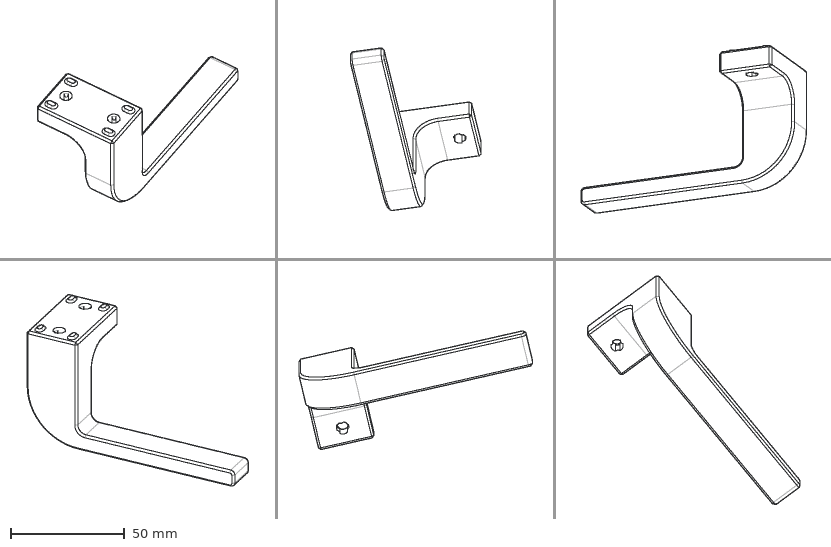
import cadquery as cq
import math

plate_length = 40.0
plate_depth = 25.0
plate_thickness = 10.0
handle_width = 15.0
handle_height = 53.0
grip_reach = 102.5
grip_thickness = 8.0

elbow_radius = plate_depth
inner_bend_radius = 4.0
gusset_radius = 10.0
tip_radius = 2.0
edge_chamfer = 1.0

hole_diameter = 5.4
hole_edge_offset = 7.5
hole_depth = plate_thickness

rib_count = 3
rib_radius = 1.5
rib_rise = 0.5
rib_start_depth = 1.5
rib_lead_in = 2.0

nub_length = 6.0
nub_width = 4.0
nub_height = 1.0
nub_taper = 45.0
nub_offset_x = 5.0
nub_offset_y = 4.5

stem_side_x = plate_length - handle_width
plate_underside_z = handle_height - plate_thickness

sharp_angle = math.radians(10)
contact_tolerance = 1e-4


def make_plate():
    """Mounting plate with a concave gusset running down into the stem."""
    return (
        cq.Workplane("XZ")
        .moveTo(0, handle_height)
        .lineTo(0, plate_underside_z)
        .lineTo(stem_side_x - gusset_radius, plate_underside_z)
        .radiusArc((stem_side_x, plate_underside_z - gusset_radius), gusset_radius)
        .lineTo(plate_length, plate_underside_z - gusset_radius)
        .lineTo(plate_length, handle_height)
        .close()
        .extrude(-plate_depth)
    )


def make_handle():
    """Stem and grip: one J-shaped side profile extruded across the handle width."""
    bend_start_y = plate_depth + inner_bend_radius
    bend_end_z = grip_thickness + inner_bend_radius
    handle = (
        cq.Workplane("YZ", origin=(stem_side_x, 0, 0))
        .moveTo(0, handle_height)
        .lineTo(0, elbow_radius)
        .radiusArc((elbow_radius, 0), -elbow_radius)
        .lineTo(grip_reach, 0)
        .lineTo(grip_reach, grip_thickness)
        .lineTo(bend_start_y, grip_thickness)
        .radiusArc((plate_depth, bend_end_z), inner_bend_radius)
        .lineTo(plate_depth, handle_height)
        .close()
        .extrude(handle_width)
    )
    return handle.faces(">Y").edges("|X").fillet(tip_radius)


def is_sharp(edge, faces):
    """True where the two faces meeting at the edge are not tangent."""
    middle = edge.positionAt(0.5)
    point = cq.Vertex.makeVertex(*middle.toTuple())
    touching = [face for face in faces if face.distance(point) < contact_tolerance]
    first, second = [face.normalAt(middle) for face in touching]
    return first.getAngle(second) > sharp_angle


def chamfer_sharp_edges(body):
    """Chamfer every sharp edge, leaving the tangent seams alone."""
    faces = body.faces().vals()
    sharp_edges = [edge for edge in body.edges().vals() if is_sharp(edge, faces)]
    return body.newObject(sharp_edges).chamfer(edge_chamfer)


def mounting_face(points):
    """Workplane on the mounting face with the given points on its stack."""
    return cq.Workplane("XY", origin=(0, 0, handle_height)).pushPoints(points)


def make_hole(center):
    """Cutter for one screw hole: a bore whose wall carries ribs with sloped tops."""
    hole_radius = hole_diameter / 2
    bore = mounting_face([center]).circle(hole_radius).extrude(-hole_depth)
    rib_start = (*center, handle_height - rib_start_depth)
    ribs = (
        cq.Workplane("XY", origin=rib_start)
        .polarArray(hole_radius - rib_rise + rib_radius, 0, 360, rib_count)
        .circle(rib_radius)
        .extrude(rib_start_depth - hole_depth)
    )
    lead_in = (
        cq.Workplane("XY", origin=rib_start)
        .circle(hole_radius)
        .workplane(offset=-rib_lead_in)
        .circle(hole_radius - rib_rise)
        .loft(ruled=True)
    )
    return bore.cut(ribs).union(lead_in)


def make_holes():
    """Two screw holes; only the one away from the stem opens below the plate."""
    near_hole = make_hole((hole_edge_offset, plate_depth / 2))
    stem_hole = make_hole((plate_length - hole_edge_offset, plate_depth / 2))
    return near_hole.union(stem_hole)


def make_nubs():
    """Four tapered oblong nubs, one near each corner of the mounting face."""
    centers = [
        (x, y)
        for x in (nub_offset_x, plate_length - nub_offset_x)
        for y in (nub_offset_y, plate_depth - nub_offset_y)
    ]
    return mounting_face(centers).slot2D(nub_length, nub_width).extrude(nub_height, taper=nub_taper)


body = make_plate().union(make_handle()).clean()
body = chamfer_sharp_edges(body)
result = body.union(make_nubs()).cut(make_holes())